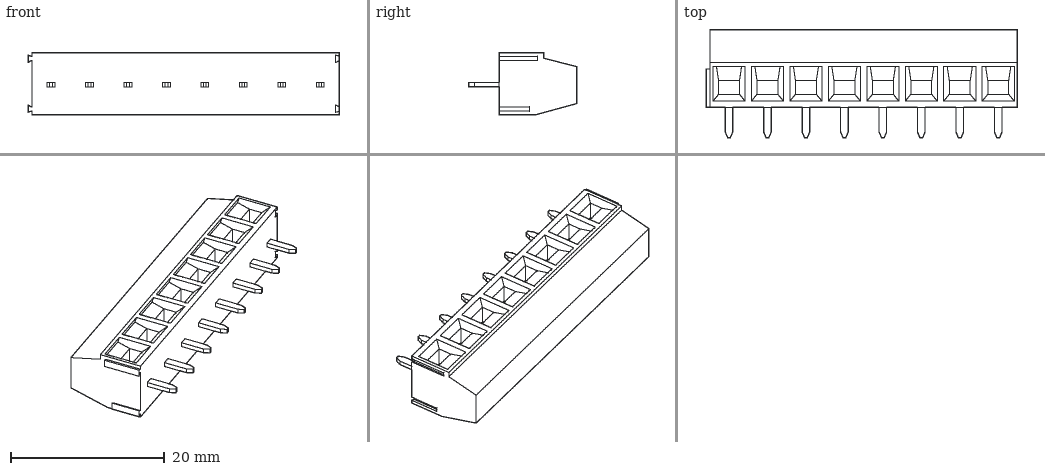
import cadquery as cq

ways = 8
overall_length = 40.5
rail_height = 0.5
body_length = overall_length - rail_height
pitch = body_length / ways
body_depth = 10.12
body_height = 8.1

rim_depth = 5.85
rim_step = 0.73
back_top_drop = 1.82
back_bottom_rise = 1.45
flat_bottom_depth = 4.78

funnel_front = 0.8
funnel_back = 5.35
funnel_width = 4.17
well_front = 1.7
well_back = 3.5
well_width = 2.7
funnel_back_wall = 0.45
funnel_depth = 0.73
well_floor_depth = 3.25

pin_length = 3.95
pin_width = 1.0
pin_thickness = 0.6
pin_center_z = 3.93
pin_tip_length = 0.75
pin_tip_width = 0.35

rail_tip_width = 0.97
rail_edge_gap = 0.32
rail_outer_flare = 0.15
rail_inner_flare = 0.3
top_rail_length = 5.02
bottom_rail_length = 3.93


def make_housing():
    """Constant side profile along X, with a raised rim around the openings."""
    profile = [
        (0, 0),
        (flat_bottom_depth, 0),
        (body_depth, back_bottom_rise),
        (body_depth, body_height - back_top_drop),
        (rim_depth, body_height - rim_step),
        (rim_depth, body_height),
        (0, body_height),
    ]
    return cq.Workplane("YZ").polyline(profile).close().extrude(body_length)


def make_opening(center_x):
    """Hopper with a gently sloping back floor that leads into a rectangular well."""
    funnel_bottom = body_height - funnel_depth
    side_profile = [
        (funnel_front, body_height),
        (well_front, funnel_bottom),
        (well_back, funnel_bottom),
        (funnel_back, body_height - funnel_back_wall),
        (funnel_back, body_height),
    ]
    front_profile = [
        (center_x - funnel_width / 2, body_height),
        (center_x - well_width / 2, funnel_bottom),
        (center_x + well_width / 2, funnel_bottom),
        (center_x + funnel_width / 2, body_height),
    ]
    side_prism = cq.Workplane("YZ").polyline(side_profile).close().extrude(body_length)
    front_prism = cq.Workplane("XZ").polyline(front_profile).close().extrude(-body_depth)
    well_size = (well_width, well_back - well_front, well_floor_depth - funnel_depth)
    well_origin = (center_x, well_front, body_height - well_floor_depth)
    well = cq.Workplane("XY", origin=well_origin).box(*well_size, centered=(True, False, False))
    return side_prism.intersect(front_prism).union(well)


def make_pin(center_x):
    """Flat pin with a tapered tip, standing out of the front face."""
    shoulder_y = pin_tip_length - pin_length
    outline = [
        (center_x - pin_width / 2, 0),
        (center_x - pin_width / 2, shoulder_y),
        (center_x - pin_tip_width / 2, -pin_length),
        (center_x + pin_tip_width / 2, -pin_length),
        (center_x + pin_width / 2, shoulder_y),
        (center_x + pin_width / 2, 0),
    ]
    pin_bottom = pin_center_z - pin_thickness / 2
    return cq.Workplane("XY", origin=(0, 0, pin_bottom)).polyline(outline).close().extrude(pin_thickness)


def make_rail(end_x, edge_z, inward, length):
    """Dovetail that widens away from end_x; inward is the Z direction towards mid height."""
    tip_outer = edge_z + inward * rail_edge_gap
    tip_inner = tip_outer + inward * rail_tip_width
    section = [
        (end_x - rail_height, tip_outer),
        (end_x - rail_height, tip_inner),
        (end_x, tip_inner - inward * rail_inner_flare),
        (end_x, tip_outer + inward * rail_outer_flare),
    ]
    return cq.Workplane("XZ").polyline(section).close().extrude(-length)


result = make_housing()

for way in range(ways):
    way_x = (way + 0.5) * pitch
    result = result.cut(make_opening(way_x)).union(make_pin(way_x))

for edge_z, inward, length in [(body_height, -1, top_rail_length), (0, 1, bottom_rail_length)]:
    result = result.union(make_rail(0, edge_z, inward, length))
    result = result.cut(make_rail(body_length, edge_z, inward, length))